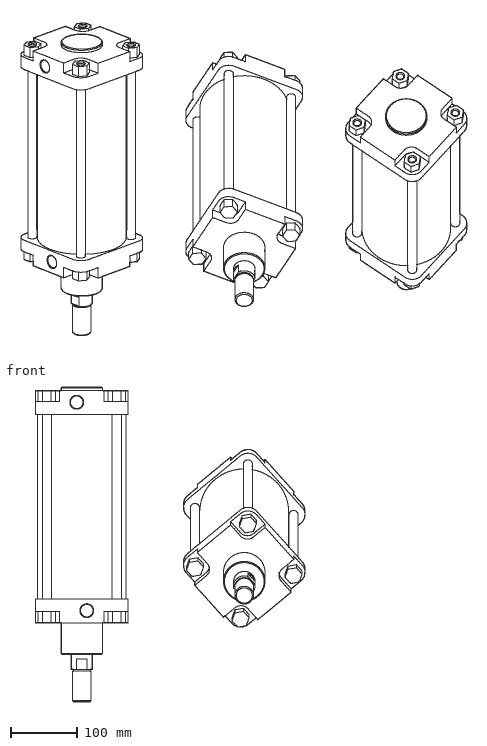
import cadquery as cq


cap_width = 140.0
cap_thickness = 36.0
tie_rod_offset = 52.5
cap_corner_radius = cap_width / 2 - tie_rod_offset
cross_half_width = 33.0
pocket_corner_radius = 13.7
head_pocket_depth = 16.0
rod_pocket_depth = 17.0
boss_diameter = 62.5
boss_chamfer = 1.5
head_boss_height = 5.0
nose_length = 47.5
port_diameter = 19.0
port_chamfer = 1.0
port_depth = 28.5
port_offset = 7.5
port_inset = 17.5

barrel_diameter = 133.5
barrel_length = 278.0

tie_rod_diameter = 13.7
nut_sides = 6
nut_across_flats = 22.8
nut_height = 16.0
nut_turn = 30
socket_diameter = 10.0
socket_rim_diameter = 13.5
socket_chamfer = (socket_rim_diameter - socket_diameter) / 2

thread_diameter = 28.0
thread_length = 46.5
thread_chamfer = 2.0
neck_diameter = 25.5
neck_length = 2.5
collar_diameter = 32.0
flats_length = 15.5
flats_width = 28.0
rod_length = 71.5

nose_end = rod_length
rod_cap_bottom = nose_end + nose_length
barrel_bottom = rod_cap_bottom + cap_thickness
barrel_top = barrel_bottom + barrel_length
head_cap_top = barrel_top + cap_thickness

CORNERS = [(sx, sy) for sx in (-1, 1) for sy in (-1, 1)]


def cylinder(diameter, bottom, length):
    return cq.Workplane("XY", origin=(0, 0, bottom)).circle(diameter / 2).extrude(length)


def countersink(mouth, hole_diameter, chamfer):
    """45-degree cone that widens a hole at its mouth; the mouth plane faces out of the material."""
    return (
        mouth.circle(hole_diameter / 2 + chamfer)
        .workplane(offset=-chamfer)
        .circle(hole_diameter / 2)
        .loft(ruled=True)
    )


def corner_pocket(sx, sy, bottom, depth):
    """Block that opens one cap corner for a nut, rounded where its two walls meet."""
    size = cap_width / 2
    centre = cross_half_width + size / 2
    return (
        cq.Workplane("XY", origin=(sx * centre, sy * centre, bottom))
        .rect(size, size)
        .extrude(depth)
        .edges(cq.selectors.NearestToPointSelector(
            (sx * cross_half_width, sy * cross_half_width, bottom + depth / 2)))
        .fillet(pocket_corner_radius)
    )


def end_cap(bottom, pocket_bottom, pocket_depth, port_x, port_z):
    """Square cap with four nut pockets, four tie-rod holes and a countersunk blind port in the -Y side."""
    cap = (
        cq.Workplane("XY", origin=(0, 0, bottom))
        .rect(cap_width, cap_width)
        .extrude(cap_thickness)
        .edges("|Z")
        .fillet(cap_corner_radius)
    )
    for sx, sy in CORNERS:
        hole = cylinder(tie_rod_diameter, bottom, cap_thickness)
        cap = cap.cut(corner_pocket(sx, sy, pocket_bottom, pocket_depth))
        cap = cap.cut(hole.translate((sx * tie_rod_offset, sy * tie_rod_offset, 0)))
    port_mouth = cq.Workplane("XZ", origin=(port_x, -cap_width / 2, port_z))
    port = port_mouth.circle(port_diameter / 2).extrude(-port_depth)
    rim = countersink(port_mouth, port_diameter, port_chamfer)
    return cap.cut(port).cut(rim)


def make_head_cap():
    """Upper cap with a low round boss on top."""
    cap = end_cap(barrel_top, head_cap_top - head_pocket_depth, head_pocket_depth,
                  -port_offset, head_cap_top - port_inset)
    boss = cylinder(boss_diameter, head_cap_top, head_boss_height)
    return cap.union(boss.faces(">Z").chamfer(boss_chamfer))


def make_rod_cap():
    """Lower cap with the long nose that the piston rod leaves from."""
    cap = end_cap(rod_cap_bottom, rod_cap_bottom, rod_pocket_depth,
                  port_offset, barrel_bottom - port_inset)
    nose = cylinder(boss_diameter, nose_end, nose_length)
    return cap.union(nose.faces("<Z").chamfer(boss_chamfer))


def make_barrel():
    return cylinder(barrel_diameter, barrel_bottom, barrel_length)


def nut(bottom):
    corner_radius = nut_across_flats / 3 ** 0.5
    nut_shape = cq.Sketch().regularPolygon(corner_radius, nut_sides, angle=nut_turn)
    return cq.Workplane("XY", origin=(0, 0, bottom)).placeSketch(nut_shape).extrude(nut_height)


def make_tie_rod(x, y):
    """Rod through both caps with a hexagon nut at each end and a countersunk socket on top."""
    lower_nut_bottom = rod_cap_bottom + rod_pocket_depth - nut_height
    upper_nut_bottom = head_cap_top - head_pocket_depth
    upper_nut_top = upper_nut_bottom + nut_height
    tie_rod = (
        cylinder(tie_rod_diameter, lower_nut_bottom, upper_nut_top - lower_nut_bottom)
        .union(nut(lower_nut_bottom))
        .union(nut(upper_nut_bottom))
        .cut(cylinder(socket_diameter, upper_nut_bottom, nut_height))
    )
    rim = countersink(cq.Workplane("XY", origin=(0, 0, upper_nut_top)), socket_diameter, socket_chamfer)
    return tie_rod.cut(rim).translate((x, y, 0))


def make_piston_rod():
    """Threaded end, narrow neck, and a collar with two wrench flats facing -Y and +Y."""
    collar_bottom = thread_length + neck_length
    thread = cylinder(thread_diameter, 0, thread_length).faces("<Z").chamfer(thread_chamfer)
    neck = cylinder(neck_diameter, thread_length, neck_length)
    collar = cylinder(collar_diameter, collar_bottom, rod_length - collar_bottom)
    wrench_zone = cq.Workplane("XY", origin=(0, 0, collar_bottom))
    flats = (
        wrench_zone.rect(2 * collar_diameter, 2 * collar_diameter)
        .rect(2 * collar_diameter, flats_width)
        .extrude(flats_length)
    )
    return thread.union(neck).union(collar.cut(flats))


head_cap = make_head_cap()
rod_cap = make_rod_cap()
barrel = make_barrel()
piston_rod = make_piston_rod()
tie_rods = [make_tie_rod(sx * tie_rod_offset, sy * tie_rod_offset) for sx, sy in CORNERS]

result = cq.Compound.makeCompound([
    head_cap.val(),
    rod_cap.val(),
    barrel.val(),
    piston_rod.val(),
    *[tie_rod.val() for tie_rod in tie_rods],
])